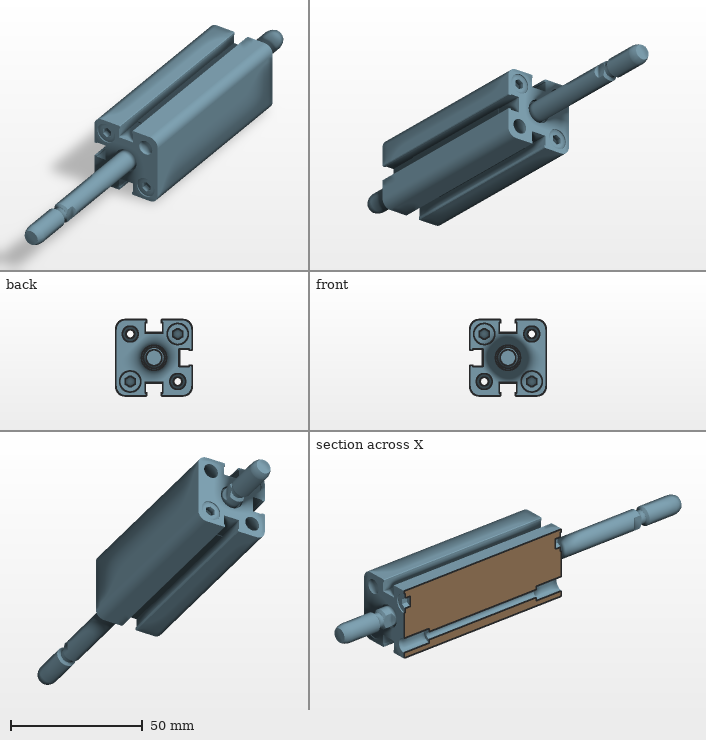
import cadquery as cq
import math

total_length = 167.0
body_side = 29.0
corner_radius = 3.7

rear_rod_length = 24.4
body_length = 78.2
cap_length = 12.5
body_rear = total_length / 2 - rear_rod_length
body_front = body_rear - body_length

slot_neck_width = 5.7
slot_mouth_bevel = 0.25
slot_width = 6.5
slot_neck_depth = 1.2
cap_slot_depth = 5.2
barrel_slot_depth = 4.8

corner_offset = 9.0
mount_hole_diameter = 3.2
mount_bore_diameter = 6.0
mount_bore_depth = cap_length
screw_head_diameter = 8.0
screw_head_recess = 0.5
socket_corner_diameter = 4.2
screw_socket_depth = 2.5

rod_diameter = 8.0
rod_recess_diameter = 9.5
rod_recess_depth = 1.7

tip_diameter = 6.0
tip_length = 3.2
thread_end = 17.5
neck_diameter = 5.8
neck_end = 19.7
bevel_length = 0.8
bevel_height = 1.0
flat_end = 23.4
flat_spacing = neck_diameter


def rod_along_y(diameter, start, end, x=0.0, z=0.0):
    """Cylinder parallel to Y between two Y positions."""
    return cq.Workplane("XZ", origin=(x, start, z)).circle(diameter / 2).extrude(start - end)


def t_slot(depth, start, end):
    """T-slot cutter open on the top face."""
    top = body_side / 2
    shoulder = top - slot_neck_depth
    floor = top - depth
    neck_half = slot_neck_width / 2
    right_half = [
        (neck_half + slot_mouth_bevel, top),
        (neck_half, top - slot_mouth_bevel),
        (neck_half, shoulder),
        (slot_width / 2, shoulder),
        (slot_width / 2, floor),
    ]
    left_half = [(-x, z) for x, z in reversed(right_half)]
    outline = cq.Workplane("XZ", origin=(0, start, 0)).polyline(right_half + left_half).close()
    return outline.extrude(start - end)


def body_section(start, end, slot_depth):
    """Rounded square length of the body with its three T-slots."""
    section = cq.Workplane("XZ", origin=(0, start, 0)).rect(body_side, body_side).extrude(start - end)
    section = section.edges("|Y").fillet(corner_radius)
    cutter = t_slot(slot_depth, start, end)
    for angle in (0, 180, -90):
        section = section.cut(cutter.rotate((0, 0, 0), (0, 1, 0), angle))
    return section


def slotted_body():
    front_joint = body_front + cap_length
    rear_joint = body_rear - cap_length
    front_cap = body_section(body_front, front_joint, cap_slot_depth)
    barrel = body_section(front_joint, rear_joint, barrel_slot_depth)
    rear_cap = body_section(rear_joint, body_rear, cap_slot_depth)
    return front_cap.union(barrel).union(rear_cap)


def mount_hole(x, z):
    """Through hole with a wider bore in both caps."""
    hole = rod_along_y(mount_hole_diameter, body_front, body_rear, x, z)
    front_bore = rod_along_y(mount_bore_diameter, body_front, body_front + mount_bore_depth, x, z)
    rear_bore = rod_along_y(mount_bore_diameter, body_rear - mount_bore_depth, body_rear, x, z)
    return hole.union(front_bore).union(rear_bore)


def screw_recess(x, z, face, inward):
    """Sunk screw head with a hexagonal socket; inward is +1 or -1 along Y."""
    head_top = face + inward * screw_head_recess
    recess = rod_along_y(screw_head_diameter, face, head_top, x, z)
    socket = (
        cq.Workplane("XZ", origin=(x, head_top, z))
        .transformed(rotate=(0, 0, 90))
        .polygon(6, socket_corner_diameter)
        .extrude(-inward * screw_socket_depth)
    )
    return recess.union(socket)


def rod_half():
    """Front half of the rod, from its tip to the middle."""
    tip = -total_length / 2
    radius = rod_diameter / 2
    tip_radius = tip_diameter / 2
    neck_radius = neck_diameter / 2
    nose_drop = radius - tip_radius
    nose_radius = (nose_drop**2 + tip_length**2) / (2 * nose_drop)
    half_length = tip_length / 2
    nose_middle = radius - nose_radius + math.sqrt(nose_radius**2 - half_length**2)
    half = (
        cq.Workplane("XY")
        .moveTo(0, tip)
        .lineTo(tip_radius, tip)
        .threePointArc((nose_middle, tip + half_length), (radius, tip + tip_length))
        .lineTo(radius, tip + thread_end - bevel_length)
        .lineTo(radius - bevel_height, tip + thread_end)
        .lineTo(neck_radius, tip + thread_end)
        .lineTo(neck_radius, tip + neck_end)
        .lineTo(radius - bevel_height, tip + neck_end)
        .lineTo(radius, tip + neck_end + bevel_length)
        .lineTo(radius, 0)
        .lineTo(0, 0)
        .close()
        .revolve(360, (0, 0, 0), (0, 1, 0))
    )
    flat_offset = flat_spacing / 2
    flat_depth = radius - flat_offset
    for side in (-1, 1):
        flat = (
            cq.Workplane("XY", origin=(0, 0, -radius))
            .moveTo(side * flat_offset, tip + neck_end)
            .lineTo(side * radius, tip + neck_end)
            .lineTo(side * radius, tip + flat_end + flat_depth)
            .lineTo(side * flat_offset, tip + flat_end)
            .close()
            .extrude(rod_diameter)
        )
        half = half.cut(flat)
    return half


result = slotted_body()

for side in (-1, 1):
    result = result.cut(mount_hole(side * corner_offset, side * corner_offset))
    for face, inward in ((body_front, 1), (body_rear, -1)):
        result = result.cut(screw_recess(side * corner_offset, -side * corner_offset, face, inward))

result = result.cut(rod_along_y(rod_recess_diameter, body_front, body_front + rod_recess_depth))
result = result.cut(rod_along_y(rod_recess_diameter, body_rear - rod_recess_depth, body_rear))

front_rod = rod_half()
result = result.union(front_rod).union(front_rod.mirror("XZ"))